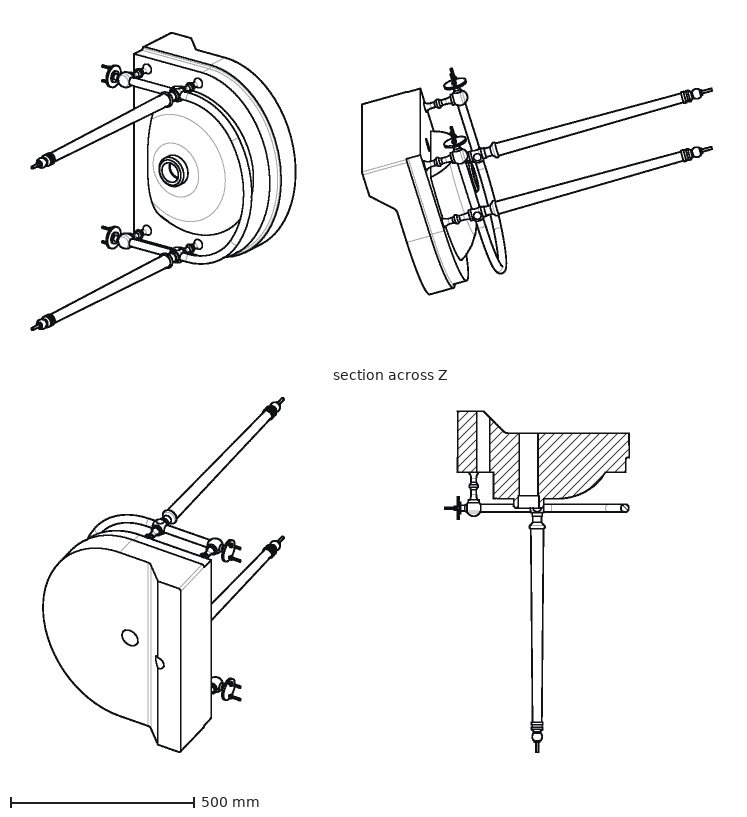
import cadquery as cq
import math


RIM_HALF_WIDTH = 280.0
STRAIGHT_DEPTH = 228.0
FRONT_BULGE = 241.0
SLAB_INSET = 9.0
SLAB_HEIGHT = 40.0
DECK_HEIGHT = 107.0
SPLASH_HEIGHT = 167.0
SPLASH_DEPTH = 72.0
SPLASH_BLEND = 19.0
BACK_EDGE_FILLET = 6.5
SLAB_JOINT_FILLET = 5.0

BOWL_X = 195.0
BOWL_RADIUS = 210.0
BOWL_MID_RADIUS = 154.0
BOWL_MID_DROP = 54.0
BOWL_FLAT_RADIUS = 77.0
BOWL_DROP = 73.0
BOWL_BACK_X = 99.0

DRAIN_RADIUS = 42.0
DRAIN_DROP = 98.0
DRAIN_CHAMFER = 6.0
DRAIN_BORE_RADIUS = 25.0
DRAIN_MOUTH_RADIUS = 28.0
DRAIN_MOUTH_DEPTH = 33.5
TAP_HOLE_X = 71.0
TAP_HOLE_RADIUS = 18.0

FRAME_HALF_SPAN = 237.0
RAIL_DROP = 98.0
BRACKET_X = 45.0
LEG_X = 218.0

BALL_RADIUS = 21.0
BALL_FLAT = 19.0
BALL_BAND_DROP = 6.5
BALL_END_RADIUS = 17.0
BALL_END_DROP = 13.0
BALL_COLLAR_RADIUS = 15.0
POST_LENGTH = 75.0
POST_RADIUS = 7.0
FLARE_RADIUS = 14.0
FOOT_FLARE_RADIUS = 10.0
FLARE_LENGTH = 16.0
FLARE_HOLLOW = 0.25
BEAD_RADIUS = 12.6
BEAD_EDGE_RADIUS = 10.0
BEAD_HALF_LENGTH = 4.0
BEAD_NECK_LENGTH = 6.5

RAIL_RADIUS = 11.0
RAIL_BEND_X = 256.0
RAIL_FRONT_X = 457.0
RAIL_SIDE_BEND = 186.0

CAP_DROP = 22.0
FLANGE_RADIUS = 31.0
FLANGE_THICKNESS = 6.0
BOSS_RADIUS = 16.0
BOSS_THICKNESS = 4.0
STEM_RADIUS = 8.0
STEM_END_RADIUS = 11.0
STEM_FLARE_LENGTH = 6.0
SCREW_OFFSET = 21.0
SCREW_LENGTH = 34.0
SCREW_RADIUS = 3.0
SCREW_COLLAR_RADIUS = 6.0
SCREW_COLLAR_LENGTH = 4.0
SCREW_COLLAR_GAP = 5.0

NECK_TOP_RADIUS = 14.0
NECK_RADIUS = 12.0
NECK_STEP_Y = -120.0
NECK_END_Y = -137.0
COLLAR_TOP_Y = -144.0
COLLAR_END_Y = -154.0
COLLAR_RADIUS = 21.0
COLLAR_EDGE_RADIUS = 19.0
LEG_TOP_RADIUS = 18.0
LEG_END_RADIUS = 13.0
LEG_END_Y = -681.5
ANKLE_RING_RADIUS = 16.0
ANKLE_RING_LENGTH = 7.0
ANKLE_GROOVE_RADIUS = 14.0
ANKLE_GROOVE_LENGTH = 6.5
ANKLE_BEAD_LENGTH = 6.0
ANKLE_TAPER_LENGTH = 6.5
ANKLE_TAPER_RADIUS = 8.0
FOOT_COLLAR_RADIUS = 10.0
FOOT_COLLAR_LENGTH = 4.0
FOOT_BALL_RADIUS = 14.0
FOOT_BALL_LENGTH = 20.5
FOOT_NECK_RADIUS = 7.0
FOOT_NECK_LENGTH = 5.0
PIN_RADIUS = 4.0
OVERALL_HEIGHT = 931.0
PIN_END_Y = SPLASH_HEIGHT - OVERALL_HEIGHT


def turn(profile):
    """Revolve a closed (radius, Y) profile about the Y axis."""
    return profile.close().revolve(360, (0, 0, 0), (0, 1, 0))


def upright_cylinder(x, radius, bottom, top):
    """Upright cylinder in the Z = 0 plane at the given X."""
    disc = cq.Workplane("XZ", origin=(x, bottom, 0)).circle(radius)
    return disc.extrude(bottom - top)


def rod_along_x(radius, start, end):
    return cq.Workplane("YZ", origin=(start, 0, 0)).circle(radius).extrude(end - start)


def plan_block(inset, bottom, top):
    """Block with straight sides and an elliptical front."""
    half = RIM_HALF_WIDTH - inset
    bulge = FRONT_BULGE - inset
    outline = (
        cq.Workplane("XZ", origin=(0, bottom, 0))
        .moveTo(0, -half)
        .lineTo(STRAIGHT_DEPTH, -half)
        .ellipseArc(bulge, half, -90, 90, startAtCurrent=True)
        .lineTo(0, half)
        .close()
    )
    return outline.extrude(bottom - top)


def rim_block():
    """Rim with the raised back and a 45 degree slope down to the deck."""
    slope_end = SPLASH_DEPTH + SPLASH_HEIGHT - DECK_HEIGHT
    front_x = STRAIGHT_DEPTH + FRONT_BULGE
    side = (
        cq.Workplane("XY")
        .polyline([
            (0, SLAB_HEIGHT),
            (front_x, SLAB_HEIGHT),
            (front_x, DECK_HEIGHT),
            (slope_end, DECK_HEIGHT),
            (SPLASH_DEPTH, SPLASH_HEIGHT),
            (0, SPLASH_HEIGHT),
        ])
        .close()
        .extrude(RIM_HALF_WIDTH, both=True)
    )
    slope_foot = cq.selectors.NearestToPointSelector((slope_end, DECK_HEIGHT, 0))
    side = side.edges("|Z").edges(slope_foot).fillet(SPLASH_BLEND)
    return plan_block(0, SLAB_HEIGHT, SPLASH_HEIGHT).intersect(side)


def rim_and_slab():
    """Rim on its smaller slab, a hollow fillet between them, the rim's back edges rounded."""
    slab = plan_block(SLAB_INSET, 0, SLAB_HEIGHT)
    body = rim_block().union(slab)
    half = RIM_HALF_WIDTH - SLAB_INSET / 2
    front_x = STRAIGHT_DEPTH + FRONT_BULGE - SLAB_INSET / 2
    reach = SLAB_HEIGHT / 2
    joint = cq.selectors.BoxSelector(
        (-reach, SLAB_HEIGHT / 2, -half),
        (front_x, SLAB_HEIGHT + reach, half),
        boundingbox=True,
    )
    body = body.edges(joint).fillet(SLAB_JOINT_FILLET)
    rounded_limits = plan_block(0, 0, SPLASH_HEIGHT).edges("|Y and <X").fillet(BACK_EDGE_FILLET)
    return body.intersect(rounded_limits)


def bowl_underside():
    """Round bowl, its curve starting level at the flat bottom, cut flat toward the wall."""
    bowl = turn(
        cq.Workplane("XY")
        .moveTo(0, SLAB_HEIGHT)
        .lineTo(0, -BOWL_DROP)
        .lineTo(BOWL_FLAT_RADIUS, -BOWL_DROP)
        .tangentArcPoint((BOWL_MID_RADIUS, -BOWL_MID_DROP), relative=False)
        .tangentArcPoint((BOWL_RADIUS, 0), relative=False)
        .lineTo(BOWL_RADIUS, SLAB_HEIGHT)
    ).translate((BOWL_X, 0, 0))
    back_waste = cq.Workplane("XY").box(2 * BOWL_RADIUS, 4 * BOWL_DROP, 2 * BOWL_RADIUS)
    return bowl.cut(back_waste.translate((BOWL_BACK_X - BOWL_RADIUS, 0, 0)))


def drain_outlet():
    outlet = upright_cylinder(BOWL_X, DRAIN_RADIUS, -DRAIN_DROP, 0)
    return outlet.faces("<Y").chamfer(DRAIN_CHAMFER)


def make_basin():
    holes = (
        upright_cylinder(BOWL_X, DRAIN_BORE_RADIUS, -DRAIN_DROP, SPLASH_HEIGHT)
        .union(upright_cylinder(BOWL_X, DRAIN_MOUTH_RADIUS, -DRAIN_DROP, DRAIN_MOUTH_DEPTH - DRAIN_DROP))
        .union(upright_cylinder(TAP_HOLE_X, TAP_HOLE_RADIUS, 0, SPLASH_HEIGHT))
    )
    return rim_and_slab().union(bowl_underside()).union(drain_outlet()).cut(holes)


def flare_middle(end_radius):
    """Radius halfway along a hollow flare, pulled in from its straight chord."""
    return POST_RADIUS + FLARE_HOLLOW * (end_radius - POST_RADIUS)


def post():
    """Turned post between the basin and a ball: a bead in the middle, a flare at each end."""
    middle = -POST_LENGTH / 2
    neck_end = BEAD_HALF_LENGTH + BEAD_NECK_LENGTH
    half_flare = FLARE_LENGTH / 2
    return turn(
        cq.Workplane("XY")
        .moveTo(0, -POST_LENGTH)
        .lineTo(FOOT_FLARE_RADIUS, -POST_LENGTH)
        .threePointArc(
            (flare_middle(FOOT_FLARE_RADIUS), half_flare - POST_LENGTH),
            (POST_RADIUS, FLARE_LENGTH - POST_LENGTH),
        )
        .lineTo(POST_RADIUS, middle - neck_end)
        .lineTo(BEAD_EDGE_RADIUS, middle - BEAD_HALF_LENGTH)
        .threePointArc((BEAD_RADIUS, middle), (BEAD_EDGE_RADIUS, middle + BEAD_HALF_LENGTH))
        .lineTo(POST_RADIUS, middle + neck_end)
        .lineTo(POST_RADIUS, -FLARE_LENGTH)
        .threePointArc((flare_middle(FLARE_RADIUS), -half_flare), (FLARE_RADIUS, 0))
        .lineTo(0, 0)
    )


def ball():
    """Ball on the rail axis: a collar under the post, and a conical band closing it below."""
    collar_rise = math.sqrt(BALL_RADIUS ** 2 - BALL_COLLAR_RADIUS ** 2)
    band_radius = math.sqrt(BALL_RADIUS ** 2 - BALL_BAND_DROP ** 2)
    return turn(
        cq.Workplane("XY")
        .moveTo(0, -POST_LENGTH)
        .lineTo(BALL_COLLAR_RADIUS, -POST_LENGTH)
        .lineTo(BALL_COLLAR_RADIUS, collar_rise - RAIL_DROP)
        .threePointArc((BALL_RADIUS, -RAIL_DROP), (band_radius, -RAIL_DROP - BALL_BAND_DROP))
        .lineTo(BALL_END_RADIUS, -RAIL_DROP - BALL_END_DROP)
        .lineTo(0, -RAIL_DROP - BALL_END_DROP)
    )


def flat_cutter(direction):
    """Block that cuts a flat on the ball, square to the given direction."""
    size = 2 * BALL_RADIUS
    shift = cq.Vector(*direction) * (BALL_FLAT + BALL_RADIUS)
    block = cq.Workplane("XY").box(size, size, size)
    return block.translate(shift).translate((0, -RAIL_DROP, 0))


def make_rail():
    """Round rail: two straight runs joined by three tangent arcs."""
    bend_z = FRAME_HALF_SPAN - RAIL_SIDE_BEND
    reach = RAIL_FRONT_X - RAIL_BEND_X
    front_bend = (reach ** 2 + bend_z ** 2 - RAIL_SIDE_BEND ** 2) / (2 * (reach - RAIL_SIDE_BEND))
    front_centre = RAIL_FRONT_X - front_bend
    join_angle = math.atan2(bend_z, RAIL_BEND_X - front_centre)
    join_x = front_centre + front_bend * math.cos(join_angle)
    join_z = front_bend * math.sin(join_angle)
    start_x = BRACKET_X + BALL_FLAT

    path = (
        cq.Workplane("XZ", origin=(0, -RAIL_DROP, 0))
        .moveTo(start_x, -FRAME_HALF_SPAN)
        .lineTo(RAIL_BEND_X, -FRAME_HALF_SPAN)
        .tangentArcPoint((join_x, -join_z), relative=False)
        .tangentArcPoint((join_x, join_z), relative=False)
        .tangentArcPoint((RAIL_BEND_X, FRAME_HALF_SPAN), relative=False)
        .lineTo(start_x, FRAME_HALF_SPAN)
    )
    section = cq.Workplane("YZ", origin=(start_x, -RAIL_DROP, -FRAME_HALF_SPAN)).circle(RAIL_RADIUS)
    return section.sweep(path)


def ball_cap():
    """Low dome closing the underside of the bracket ball."""
    rise = CAP_DROP - BALL_END_DROP
    dome_radius = (BALL_END_RADIUS ** 2 + rise ** 2) / (2 * rise)
    dome_middle = (
        dome_radius * math.sin(math.pi / 4),
        -RAIL_DROP - CAP_DROP + dome_radius * (1 - math.cos(math.pi / 4)),
    )
    return turn(
        cq.Workplane("XY")
        .moveTo(0, -RAIL_DROP - BALL_END_DROP)
        .lineTo(BALL_END_RADIUS, -RAIL_DROP - BALL_END_DROP)
        .threePointArc(dome_middle, (0, -RAIL_DROP - CAP_DROP))
    )


def wall_flange():
    """Flange, boss and flared stem from the wall to the ball, with the axis on X."""
    boss_end = FLANGE_THICKNESS + BOSS_THICKNESS
    stem_end = BRACKET_X - BALL_FLAT
    profile = (
        cq.Workplane("XY")
        .polyline([
            (0, 0),
            (0, FLANGE_RADIUS),
            (FLANGE_THICKNESS, FLANGE_RADIUS),
            (FLANGE_THICKNESS, BOSS_RADIUS),
            (boss_end, BOSS_RADIUS),
            (boss_end, STEM_RADIUS),
            (stem_end - STEM_FLARE_LENGTH, STEM_RADIUS),
            (stem_end, STEM_END_RADIUS),
            (BRACKET_X, STEM_END_RADIUS),
            (BRACKET_X, 0),
        ])
        .close()
    )
    return profile.revolve(360, (0, 0, 0), (1, 0, 0))


def screw():
    """Wall screw with a collar near the flange, pointing into the wall."""
    collar_end = -SCREW_COLLAR_GAP
    collar = rod_along_x(SCREW_COLLAR_RADIUS, collar_end - SCREW_COLLAR_LENGTH, collar_end)
    return rod_along_x(SCREW_RADIUS, -SCREW_LENGTH, 0).union(collar)


def make_bracket(z):
    head = post().union(ball()).union(ball_cap()).cut(flat_cutter((1, 0, 0)))
    bracket = head.translate((BRACKET_X, 0, 0)).union(wall_flange().translate((0, -RAIL_DROP, 0)))
    for side in (-1, 1):
        bracket = bracket.union(screw().translate((0, -RAIL_DROP, side * SCREW_OFFSET)))
    return bracket.translate((0, 0, z))


def leg_shaft():
    """Turned neck, collar and tapered shaft below the ball."""
    collar_middle = (COLLAR_TOP_Y + COLLAR_END_Y) / 2
    return turn(
        cq.Workplane("XY")
        .moveTo(0, -RAIL_DROP)
        .lineTo(NECK_TOP_RADIUS, -RAIL_DROP)
        .lineTo(NECK_TOP_RADIUS, NECK_STEP_Y)
        .lineTo(NECK_RADIUS, NECK_STEP_Y)
        .lineTo(NECK_RADIUS, NECK_END_Y)
        .lineTo(COLLAR_EDGE_RADIUS, COLLAR_TOP_Y)
        .threePointArc((COLLAR_RADIUS, collar_middle), (COLLAR_EDGE_RADIUS, COLLAR_END_Y))
        .lineTo(LEG_TOP_RADIUS, COLLAR_END_Y)
        .lineTo(LEG_END_RADIUS, LEG_END_Y)
        .lineTo(0, LEG_END_Y)
    )


def leg_foot():
    """Turned ankle rings, foot ball and floor pin below the shaft."""
    ring_end = LEG_END_Y - ANKLE_RING_LENGTH
    bead_top = ring_end - ANKLE_GROOVE_LENGTH
    bead_end = bead_top - ANKLE_BEAD_LENGTH
    taper_end = bead_end - ANKLE_TAPER_LENGTH
    ball_top = taper_end - FOOT_COLLAR_LENGTH
    ball_end = ball_top - FOOT_BALL_LENGTH
    neck_end = ball_end - FOOT_NECK_LENGTH
    ball_end_radius = math.sqrt(FOOT_BALL_RADIUS ** 2 - (FOOT_BALL_LENGTH / 2) ** 2)
    return turn(
        cq.Workplane("XY")
        .moveTo(0, LEG_END_Y)
        .lineTo(ANKLE_RING_RADIUS, LEG_END_Y)
        .lineTo(ANKLE_RING_RADIUS, ring_end)
        .lineTo(ANKLE_GROOVE_RADIUS, ring_end)
        .lineTo(ANKLE_GROOVE_RADIUS, bead_top)
        .lineTo(ANKLE_RING_RADIUS, bead_top)
        .lineTo(ANKLE_RING_RADIUS, bead_end)
        .lineTo(ANKLE_TAPER_RADIUS, taper_end)
        .lineTo(FOOT_COLLAR_RADIUS, taper_end)
        .lineTo(FOOT_COLLAR_RADIUS, ball_top)
        .lineTo(ball_end_radius, ball_top)
        .threePointArc((FOOT_BALL_RADIUS, (ball_top + ball_end) / 2), (ball_end_radius, ball_end))
        .lineTo(FOOT_NECK_RADIUS, ball_end)
        .lineTo(FOOT_NECK_RADIUS, neck_end)
        .lineTo(PIN_RADIUS, neck_end)
        .lineTo(PIN_RADIUS, PIN_END_Y)
        .lineTo(0, PIN_END_Y)
    )


def make_leg(z):
    """Post, ball, shaft and foot, with the ball bored for the rail."""
    cross = ball()
    for direction in ((1, 0, 0), (-1, 0, 0), (0, 0, 1), (0, 0, -1)):
        cross = cross.cut(flat_cutter(direction))
    rail_bore = rod_along_x(RAIL_RADIUS, -BALL_RADIUS, BALL_RADIUS).translate((0, -RAIL_DROP, 0))
    leg = post().union(cross).union(leg_shaft()).union(leg_foot()).cut(rail_bore)
    return leg.translate((LEG_X, 0, z))


basin = make_basin()
rail = make_rail()
brackets = [make_bracket(side * FRAME_HALF_SPAN) for side in (-1, 1)]
legs = [make_leg(side * FRAME_HALF_SPAN) for side in (-1, 1)]

result = cq.Compound.makeCompound([
    basin.solids().val(),
    rail.solids().val(),
    *[bracket.solids().val() for bracket in brackets],
    *[leg.solids().val() for leg in legs],
])